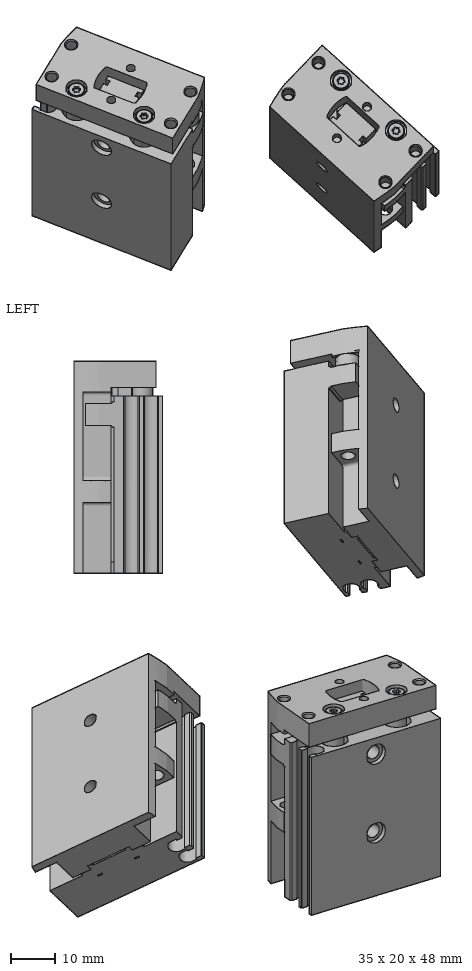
import cadquery as cq
import math

housing_width = 35.0
housing_depth = 11.0
housing_height = 40.15
total_depth = 20.0
total_height = 48.0

slide_width = 34.4
slide_back_width = 32.2
head_front = 1.45
head_thickness = 6.0
head_bottom = total_height - head_thickness
flank_start = 14.3
flank_radius = 50.0
flank_blend_radius = 1.0
rail_front = 11.6
rail_half_width = 10.7
plate_front = 18.0
pocket_fillet = 0.8
upper_pocket_bottom = 21.0
upper_pocket_top = 41.0
lower_pocket_top = 16.0

corner_hole_x = 15.0
hole_row_front = 5.0
hole_row_back = 15.0
thread_diameter = 2.46
thread_mouth_diameter = 3.0
thread_depth = 5.0
pin_hole_diameter = 2.0
pin_hole_depth = 3.0
block_hole_diameter = 3.24
block_hole_x = 14.5
block_hole_y = 14.5

rod_x = 8.5
rod_y = 4.5
rod_diameter = 4.6
rod_hole_diameter = 6.5
rod_hole_depth = 10.0
screw_recess_diameter = 4.8
screw_recess_depth = 1.4
screw_head_height = 1.0
screw_head_diameter = 3.8
screw_face_diameter = 3.46
screw_head_chamfer = (screw_head_diameter - screw_face_diameter) / 2
socket_core_diameter = 1.3
socket_lobe_diameter = 0.5
socket_lobes = 6
socket_depth = 0.8

window_front = 6.4
window_back = 12.95
window_end_width = 10.2
window_mid_width = 11.4
window_corner_radius = 0.4
post_half_width = 4.5
post_front = 7.0
post_back = 12.5
post_top = 45.4
post_notch_half_gap = 3.5
post_notch_front = 10.1
post_notch_back = 11.4
post_shoulder_outer = window_mid_width / 2
post_slot_outer = 5.65
post_slot_front = 8.7
post_slot_back = 9.05

stud_x = 14.4
stud_y = 14.4
stud_diameter = 5.6
stud_top = 41.4
stud_neck_diameter = 2.0
stud_relief_side = 16.5

front_groove_y = 2.6
back_groove_y = 7.0
front_lip_chamfer = 0.2
back_lip_chamfer = 0.32
groove_diameter = 3.8
groove_lip_thickness = 1.65
groove_mouth = 3.0
groove_axis_inset = 2.9

stop_bottom = 33.4
stop_top = 38.4
stop_back = 17.45
stop_back_half_width = 17.0
stop_inner = 11.0
stop_neck_chamfer = 0.4

land_half_width = 9.0
land_foot_height = 2.6
land_foot_step = 0.5

mount_hole_heights = (16.0, 36.0)
mount_hole_diameter = 3.3
mount_recess_diameter = 5.0
mount_recess_depth = 1.2


def box(x0, x1, y0, y1, z0, z1):
    """Box between two opposite corners."""
    return cq.Workplane("XY").box(x1 - x0, y1 - y0, z1 - z0, centered=False).translate((x0, y0, z0))


def cylinder(diameter, x, y, z0, z1):
    """Upright cylinder."""
    return cq.Workplane("XY", origin=(x, y, z0)).circle(diameter / 2).extrude(z1 - z0)


def bulge_middle(start, end):
    """Middle point of a flank that bulges outward from the straight line between its ends."""
    (start_x, start_y), (end_x, end_y) = start, end
    half_chord = math.hypot(end_x - start_x, end_y - start_y) / 2
    bulge = flank_radius - math.sqrt(flank_radius**2 - half_chord**2)
    return ((start_x + end_x) / 2 + math.copysign(bulge, start_x), (start_y + end_y) / 2)


def blend_flank(body, x):
    """Round the upright edge where the straight flank at x meets the bulging one."""
    middle_z = body.val().Center().z
    edge = cq.selectors.NearestToPointSelector((x, flank_start, middle_z))
    return body.edges("|Z").edges(edge).fillet(flank_blend_radius)


def slide_envelope():
    """Full-height prism with the outline of the head."""
    side = slide_width / 2
    back = slide_back_width / 2
    outline = (
        cq.Workplane("XY")
        .moveTo(-side, head_front)
        .lineTo(side, head_front)
        .lineTo(side, flank_start)
        .threePointArc(bulge_middle((side, flank_start), (back, total_depth)), (back, total_depth))
        .lineTo(-back, total_depth)
        .threePointArc(bulge_middle((-side, flank_start), (-back, total_depth)), (-side, flank_start))
        .close()
    )
    envelope = outline.extrude(total_height)
    for x in (-side, side):
        envelope = blend_flank(envelope, x)
    return envelope


def side_box(side, inner, outer, y0, y1, z0, z1):
    """Box between two distances from the middle plane, on the -X (-1) or +X (1) side."""
    return box(min(side * inner, side * outer), max(side * inner, side * outer), y0, y1, z0, z1)


def side_pocket(side, z0, z1, rounded=None):
    """Pocket open to one side; the chosen edges of its inner end are rounded."""
    pocket = side_box(side, rail_half_width, housing_width, rail_front, plate_front, z0, z1)
    if rounded:
        inner_face = "<X" if side > 0 else ">X"
        pocket = pocket.faces(inner_face).edges(rounded).fillet(pocket_fillet)
    return pocket


def window():
    """Opening with flat ends and bulging sides."""
    end = window_end_width / 2
    bulge = window_mid_width / 2
    middle_y = (window_front + window_back) / 2
    return (
        cq.Workplane("XY", origin=(0, 0, housing_height))
        .moveTo(-end, window_front)
        .lineTo(end, window_front)
        .threePointArc((bulge, middle_y), (end, window_back))
        .lineTo(-end, window_back)
        .threePointArc((-bulge, middle_y), (-end, window_front))
        .close()
        .extrude(total_height - housing_height)
        .edges("|Z")
        .fillet(window_corner_radius)
    )


def screw_recess(x):
    """Round recess with a chamfered screw head and a star socket left standing in it."""
    floor = total_height - screw_recess_depth
    face = floor + screw_head_height
    recess = cylinder(screw_recess_diameter, x, rod_y, floor, total_height)
    head = cylinder(screw_head_diameter, x, rod_y, floor, face).faces(">Z").chamfer(screw_head_chamfer)
    socket = cylinder(socket_core_diameter, x, rod_y, face - socket_depth, face)
    for lobe in range(socket_lobes):
        angle = math.radians(90 + lobe * 360 / socket_lobes)
        lobe_x = x + socket_core_diameter / 2 * math.cos(angle)
        lobe_y = rod_y + socket_core_diameter / 2 * math.sin(angle)
        socket = socket.union(cylinder(socket_lobe_diameter, lobe_x, lobe_y, face - socket_depth, face))
    return recess.cut(head).union(socket)


def threaded_hole(x, y):
    """Blind hole with a chamfered mouth."""
    hole = cylinder(thread_diameter, x, y, total_height - thread_depth, total_height)
    mouth_depth = (thread_mouth_diameter - thread_diameter) / 2
    mouth = (
        cq.Workplane("XY", origin=(x, y, total_height))
        .circle(thread_mouth_diameter / 2)
        .workplane(offset=-mouth_depth)
        .circle(thread_diameter / 2)
        .loft()
    )
    return hole.union(mouth)


def mount_holes():
    """Through holes along Y."""
    points = [(0, height) for height in mount_hole_heights]
    return cq.Workplane("XZ").pushPoints(points).circle(mount_hole_diameter / 2).extrude(-total_depth)


def make_slide():
    slide = slide_envelope()
    slide = slide.cut(box(-housing_width, housing_width, 0, rail_front, 0, head_bottom))
    slide = slide.cut(side_pocket(-1, upper_pocket_bottom, upper_pocket_top, "|Y"))
    slide = slide.cut(side_pocket(1, upper_pocket_bottom, stud_top, "|Y and <Z"))
    for side in (-1, 1):
        slide = slide.cut(side_pocket(side, 0, lower_pocket_top, "|Y and >Z"))
    slide = slide.cut(
        side_box(1, rail_half_width, stud_relief_side, rail_front, plate_front, stud_top, head_bottom)
    )
    for x in (-rod_x, rod_x):
        slide = slide.union(cylinder(rod_diameter, x, rod_y, housing_height - rod_hole_depth, head_bottom))
        slide = slide.cut(screw_recess(x))
    slide = slide.cut(window())
    slide = slide.cut(
        box(-post_shoulder_outer, post_shoulder_outer, rail_front, window_back, 0, housing_height)
    )
    for y in (hole_row_front, hole_row_back):
        slide = slide.cut(cylinder(pin_hole_diameter, 0, y, total_height - pin_hole_depth, total_height))
        for x in (-corner_hole_x, corner_hole_x):
            slide = slide.cut(threaded_hole(x, y))
    for x in (-block_hole_x, block_hole_x):
        slide = slide.cut(cylinder(block_hole_diameter, x, block_hole_y, lower_pocket_top, upper_pocket_bottom))
    return slide.cut(mount_holes())


def sensor_groove(y, lip_chamfer):
    """Round-bottomed groove along Z in the -X side, with a narrower chamfered mouth."""
    side = -housing_width / 2
    axis_x = side + groove_axis_inset
    lip_x = side + groove_lip_thickness
    half_mouth = groove_mouth / 2
    half = groove_diameter / 2
    return (
        cq.Workplane("XY")
        .moveTo(side, y - half_mouth - lip_chamfer)
        .lineTo(side + lip_chamfer, y - half_mouth)
        .lineTo(lip_x, y - half_mouth)
        .lineTo(lip_x, y - half)
        .lineTo(axis_x, y - half)
        .threePointArc((axis_x + half, y), (axis_x, y + half))
        .lineTo(lip_x, y + half)
        .lineTo(lip_x, y + half_mouth)
        .lineTo(side + lip_chamfer, y + half_mouth)
        .lineTo(side, y + half_mouth + lip_chamfer)
        .close()
        .extrude(housing_height)
    )


def stop_block(side):
    """Stop reaching from the housing into an upper side pocket of the slide."""
    outer = side * housing_width / 2
    back = side * stop_back_half_width
    inner = side * stop_inner
    block = (
        cq.Workplane("XY", origin=(0, 0, stop_bottom))
        .moveTo(inner, housing_depth)
        .lineTo(outer, housing_depth)
        .lineTo(outer, flank_start)
        .threePointArc(bulge_middle((outer, flank_start), (back, stop_back)), (back, stop_back))
        .lineTo(inner, stop_back)
        .close()
        .extrude(stop_top - stop_bottom)
    )
    block = blend_flank(block, outer)
    foot = side_box(
        side, stop_inner, housing_width / 2, housing_depth, rail_front,
        stop_bottom - stop_neck_chamfer, stop_top + stop_neck_chamfer,
    )
    return block.union(foot.faces(">Y").edges("|X").chamfer(stop_neck_chamfer))


def stop_stud():
    """Stud with a thin neck, standing on the +X stop block."""
    stud = cylinder(stud_diameter, stud_x, stud_y, stop_top, stud_top)
    return stud.union(cylinder(stud_neck_diameter, stud_x, stud_y, stud_top, head_bottom))


def post():
    """Post along the middle of the housing, notched on both sides where it stands free."""
    body = box(-post_half_width, post_half_width, post_front, post_back, 0, post_top)
    for side in (-1, 1):
        notch = side_box(
            side, post_notch_half_gap, post_half_width,
            post_notch_front, post_notch_back, housing_height, post_top,
        )
        body = body.cut(notch)
    return body


def make_housing():
    half = housing_width / 2
    housing = box(-half, half, 0, housing_depth, 0, housing_height)
    housing = housing.cut(sensor_groove(front_groove_y, front_lip_chamfer))
    housing = housing.cut(sensor_groove(back_groove_y, back_lip_chamfer))
    foot_half = land_half_width - land_foot_step
    housing = housing.union(box(-foot_half, foot_half, housing_depth, rail_front, 0, land_foot_height))
    housing = housing.union(
        box(-land_half_width, land_half_width, housing_depth, rail_front, land_foot_height, housing_height)
    )
    for side in (-1, 1):
        housing = housing.union(stop_block(side))
        housing = housing.cut(
            side_box(side, post_half_width, post_slot_outer, post_slot_front, post_slot_back, 0, housing_height)
        )
        shoulder = side_box(
            side, post_half_width, post_shoulder_outer, housing_depth, window_back, 0, housing_height
        )
        housing = housing.union(shoulder)
    housing = housing.union(stop_stud()).union(post())
    for x in (-rod_x, rod_x):
        rod_hole = cylinder(rod_hole_diameter, x, rod_y, housing_height - rod_hole_depth, housing_height)
        housing = housing.cut(rod_hole)
    recesses = (
        cq.Workplane("XZ")
        .pushPoints([(0, height) for height in mount_hole_heights])
        .circle(mount_recess_diameter / 2)
        .extrude(-mount_recess_depth)
    )
    return housing.cut(recesses).cut(mount_holes())


housing = make_housing()
slide = make_slide()
result = cq.Compound.makeCompound([housing.val(), slide.val()])